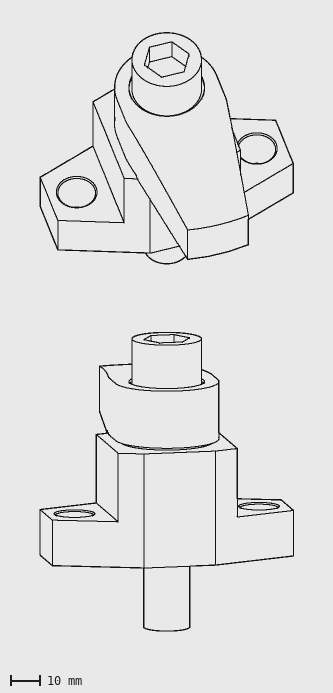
import cadquery as cq
import math


thread_diameter = 16.0
head_diameter = 24.0
head_height = thread_diameter
screw_length = 85.0
socket_across_flats = 14.0
socket_depth = thread_diameter / 2

housing_width = 42.0
housing_length = 85.0
housing_height = 40.0
ear_height = 16.0
flank_angle = 20.0
end_face_half_length = 12.6
mount_hole_diameter = 13.0
mount_hole_chamfer = 0.5
mount_hole_spacing = 65.0

hub_radius = 18.0
hub_stretch = 10.0
lever_height = 21.0
underside_relief = 1.0
boss_diameter = 32.0
seat_diameter = 26.0
seat_depth = 1.0
tip_radius = 60.0
handle_taper_angle = 8.4
handle_bottom_start = 19.6
handle_tip_drop = 5.0

lever_bottom = housing_height
lever_top = lever_bottom + lever_height
hub_bottom = lever_bottom + underside_relief
head_seat = lever_top - seat_depth


def make_housing():
    """Block with sloped flanks, a mounting ear at each Y end and a bore for the screw."""
    half_width = housing_width / 2
    half_length = housing_length / 2
    flank_length = half_length - end_face_half_length
    ear_half_width = half_width - flank_length * math.tan(math.radians(flank_angle))
    housing = (
        cq.Workplane("XY")
        .moveTo(-half_width, -end_face_half_length)
        .lineTo(-ear_half_width, -half_length)
        .lineTo(ear_half_width, -half_length)
        .lineTo(half_width, -end_face_half_length)
        .lineTo(half_width, end_face_half_length)
        .lineTo(ear_half_width, half_length)
        .lineTo(-ear_half_width, half_length)
        .lineTo(-half_width, end_face_half_length)
        .close()
        .extrude(housing_height)
    )

    ear_length = half_length - half_width
    for side in (-1, 1):
        above_ear = (
            cq.Workplane("XY", origin=(0, side * (half_width + ear_length / 2), ear_height))
            .rect(housing_width, ear_length)
            .extrude(housing_height - ear_height)
        )
        housing = housing.cut(above_ear)

    for side in (-1, 1):
        housing = housing.cut(make_mount_hole(side * mount_hole_spacing / 2))

    bore = cq.Workplane("XY").circle(thread_diameter / 2).extrude(housing_height)
    return housing.cut(bore)


def make_mount_hole(y):
    """Cutter for an ear hole with a chamfered upper mouth."""
    radius = mount_hole_diameter / 2
    mouth_radius = radius + mount_hole_chamfer
    profile = (
        cq.Workplane("XZ", origin=(0, y, 0))
        .lineTo(radius, 0)
        .lineTo(radius, ear_height - mount_hole_chamfer)
        .lineTo(mouth_radius, ear_height)
        .lineTo(0, ear_height)
        .close()
    )
    return profile.revolve(360, (0, 0, 0), (0, 1, 0))


def make_lever():
    """Round-ended hub with a tapered handle toward +X and a seat for the screw head."""
    taper = math.radians(handle_taper_angle)
    tangent_x = hub_stretch + hub_radius * math.sin(taper)
    tangent_y = hub_radius * math.cos(taper)

    side_offset = hub_radius + hub_stretch * math.sin(taper)
    tip_angle = math.pi / 2 - taper - math.acos(side_offset / tip_radius)
    tip_x = tip_radius * math.cos(tip_angle)
    tip_y = tip_radius * math.sin(tip_angle)

    mid_arc_x = hub_stretch + hub_radius * math.sin(taper / 2)
    mid_arc_y = hub_radius * math.cos(taper / 2)
    lever = (
        cq.Workplane("XY", origin=(0, 0, lever_bottom))
        .moveTo(0, -hub_radius)
        .lineTo(hub_stretch, -hub_radius)
        .threePointArc((mid_arc_x, -mid_arc_y), (tangent_x, -tangent_y))
        .lineTo(tip_x, -tip_y)
        .threePointArc((tip_radius, 0), (tip_x, tip_y))
        .lineTo(tangent_x, tangent_y)
        .threePointArc((mid_arc_x, mid_arc_y), (hub_stretch, hub_radius))
        .lineTo(0, hub_radius)
        .threePointArc((-hub_radius, 0), (0, -hub_radius))
        .close()
        .extrude(lever_height)
    )
    lever = lever.cut(make_handle_slope())
    lever = lever.cut(make_underside_relief())

    bore = (
        cq.Workplane("XY", origin=(0, 0, lever_bottom))
        .circle(thread_diameter / 2)
        .extrude(lever_height)
    )
    seat = cq.Workplane("XY", origin=(0, 0, head_seat)).circle(seat_diameter / 2).extrude(seat_depth)
    return lever.cut(bore).cut(seat)


def make_handle_slope():
    """Cutter whose conical underside slopes the handle top down from the hub's round end."""
    slope = handle_tip_drop / (tip_radius - hub_stretch - hub_radius)
    outer_radius = tip_radius
    outer_drop = slope * (outer_radius - hub_radius)
    cone = (
        cq.Workplane("XZ", origin=(hub_stretch, 0, lever_top))
        .moveTo(hub_radius, 0)
        .lineTo(outer_radius, -outer_drop)
        .lineTo(outer_radius, 0)
        .close()
        .revolve(360, (0, 0, 0), (0, 1, 0))
    )
    handle_side = (
        cq.Workplane("XY", origin=(hub_stretch + outer_radius / 2, 0, hub_bottom))
        .rect(outer_radius, 2 * outer_radius)
        .extrude(lever_height)
    )
    return cone.intersect(handle_side)


def make_underside_relief():
    """Cutter that raises the hub underside around the round boss, ending in a 45 degree step."""
    relief = (
        cq.Workplane("XZ", origin=(0, hub_radius, 0))
        .moveTo(-hub_radius, lever_bottom)
        .lineTo(handle_bottom_start, lever_bottom)
        .lineTo(handle_bottom_start - underside_relief, hub_bottom)
        .lineTo(-hub_radius, hub_bottom)
        .close()
        .extrude(2 * hub_radius)
    )
    boss = (
        cq.Workplane("XY", origin=(0, 0, lever_bottom))
        .circle(boss_diameter / 2)
        .extrude(underside_relief)
    )
    return relief.cut(boss)


def make_screw():
    """Cap screw whose head rests on the lever's seat and whose shank runs out below the housing."""
    shank = (
        cq.Workplane("XY", origin=(0, 0, head_seat - screw_length))
        .circle(thread_diameter / 2)
        .extrude(screw_length)
    )
    head = cq.Workplane("XY", origin=(0, 0, head_seat)).circle(head_diameter / 2).extrude(head_height)
    socket_across_corners = socket_across_flats / math.cos(math.radians(30))
    socket = (
        cq.Workplane("XY", origin=(0, 0, head_seat + head_height - socket_depth))
        .polygon(6, socket_across_corners)
        .extrude(socket_depth)
        .rotate((0, 0, 0), (0, 0, 1), 30)
    )
    return shank.union(head).cut(socket)


housing = make_housing()
lever = make_lever()
screw = make_screw()

result = cq.Compound.makeCompound([housing.val(), lever.val(), screw.val()])